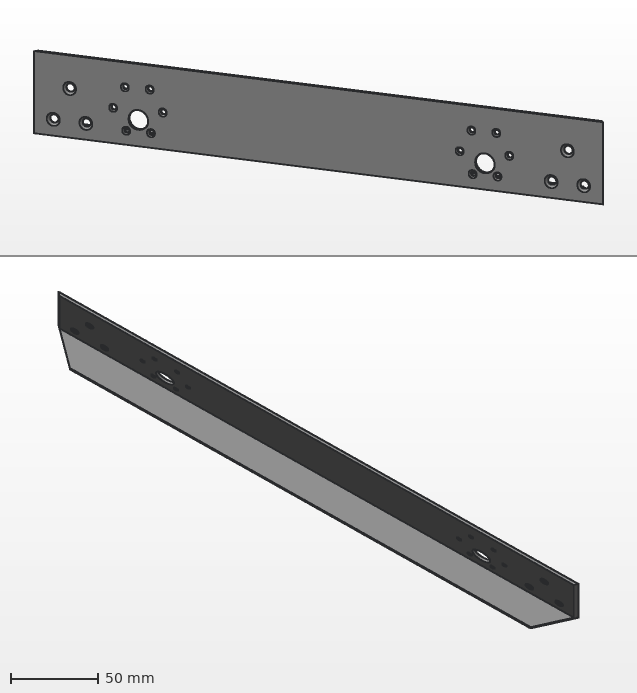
import cadquery as cq
import math

length = 350.0
height = 50.0
depth = 20.0
thickness = 2.0
miter_angle = 45.0

screw_diameter = 5.0
screw_head_diameter = 8.0
screw_end_distance = 12.0
screw_spacing = 20.0
screw_row_height = 10.0
screw_rise = 20.0

motor_centers_x = (-111.0, 102.0)
motor_center_height = 22.0
ring_radius = 15.25
ring_hole_count = 6
ring_hole_diameter = 3.0
ring_head_diameter = 5.0
ring_tilt = 1.7
shaft_diameter = 12.0
shaft_offset = 6.0

countersink_angle = 90.0


def front_workplane(body):
    """Sketch plane on the front face: local x is X, local y is Z from the lower edge."""
    return body.copyWorkplane(cq.Workplane("XZ"))


def make_mitered_angle():
    """Extrude the L profile along X, then keep only what lies within the mitered outline."""
    profile = (
        cq.Workplane("YZ")
        .lineTo(depth, 0)
        .lineTo(depth, thickness)
        .lineTo(thickness, thickness)
        .lineTo(thickness, height)
        .lineTo(0, height)
        .close()
        .extrude(length / 2, both=True)
    )
    front_x = length / 2
    back_x = front_x - depth * math.tan(math.radians(miter_angle))
    mitered_outline = (
        cq.Workplane("XY")
        .polyline([(-front_x, 0), (front_x, 0), (back_x, depth), (-back_x, depth)])
        .close()
        .extrude(height)
    )
    return profile.intersect(mitered_outline)


def screw_positions():
    positions = []
    for side in (-1, 1):
        outer_x = side * (length / 2 - screw_end_distance)
        inner_x = outer_x - side * screw_spacing
        positions.append((outer_x, screw_row_height))
        positions.append((inner_x, screw_row_height))
        positions.append(((outer_x + inner_x) / 2, screw_row_height + screw_rise))
    return positions


def ring_positions(center_x):
    positions = []
    for index in range(ring_hole_count):
        angle = math.radians(ring_tilt + index * 360.0 / ring_hole_count)
        x = center_x + ring_radius * math.cos(angle)
        z = motor_center_height + ring_radius * math.sin(angle)
        positions.append((x, z))
    return positions


def shaft_position(center_x):
    """The shaft sits below the ring centre, turned by the same tilt as the ring."""
    angle = math.radians(ring_tilt - 90.0)
    x = center_x + shaft_offset * math.cos(angle)
    z = motor_center_height + shaft_offset * math.sin(angle)
    return (x, z)


def cut_countersunk_holes(body, positions, diameter, head_diameter):
    return (
        front_workplane(body)
        .pushPoints(positions)
        .cskHole(diameter, head_diameter, countersink_angle)
    )


def cut_motor_mount(body, center_x):
    body = front_workplane(body).pushPoints([shaft_position(center_x)]).hole(shaft_diameter)
    return cut_countersunk_holes(
        body, ring_positions(center_x), ring_hole_diameter, ring_head_diameter
    )


result = make_mitered_angle()
result = cut_countersunk_holes(result, screw_positions(), screw_diameter, screw_head_diameter)
for motor_center_x in motor_centers_x:
    result = cut_motor_mount(result, motor_center_x)